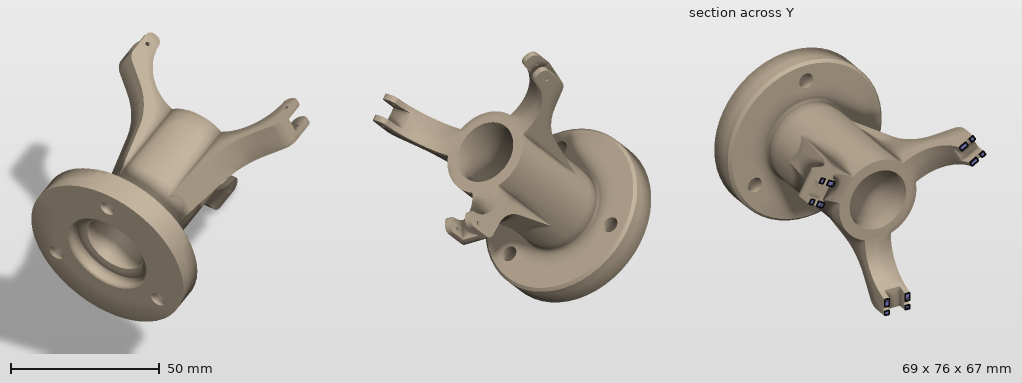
import cadquery as cq
import math

overall_length = 76.0

flange_diameter = 60.0
flange_thickness = 10.0
flange_back_chamfer = 1.0
bolt_hole_diameter = 5.5
bolt_circle_radius = 23.0
hole_count = 3

tube_diameter = 30.0
tube_end = 58.0
tube_base_fillet = 1.0
bore_diameter = 22.0
recess_diameter = 30.0
recess_depth = 5.0
recess_chamfer = 0.45

arm_count = 3
arm_width = 10.0
arm_outer_radius = 36.95
arm_root_radius = (tube_diameter + bore_diameter) / 4
arm_side_radius = math.sqrt((tube_diameter / 2) ** 2 - (arm_width / 2) ** 2)
inner_curve_radius = 17.0
heel_axial = 62.95
knee_axial = 52.6
knee_radius = 21.2
arm_start_axial = 23.7
heel_rounding = 5.0
knee_rounding = 22.0
tip_rounding = 2.5
tip_flat = 0.1

slot_width = 6.0
slot_depth = 8.5
pin_diameter = 1.5
pin_from_tip = 5.0
pin_from_outside = 2.5


def axial_cylinder(diameter, start, end):
    """Cylinder about the Y axis between two axial positions."""
    return cq.Workplane("XZ", origin=(0, start, 0)).circle(diameter / 2).extrude(start - end)


def make_body():
    flange = axial_cylinder(flange_diameter, 0, flange_thickness)
    flange = flange.faces(">Y").chamfer(flange_back_chamfer)
    body = flange.union(axial_cylinder(tube_diameter, 0, tube_end))
    tube_edges = body.edges(cq.selectors.RadiusNthSelector(0))
    return tube_edges.edges("<Y").fillet(tube_base_fillet)


def make_arm():
    """Forked arm pointing toward -Z."""
    curve_end_axial = tube_end + inner_curve_radius
    curve_end_radius = arm_side_radius + inner_curve_radius
    tip_curve_axial = overall_length - tip_rounding - tip_flat
    arc_angle = math.acos((curve_end_axial - tip_curve_axial) / inner_curve_radius)
    arc_end = (tip_curve_axial, -curve_end_radius + inner_curve_radius * (1 - math.sin(arc_angle)))
    mid_angle = arc_angle / 2
    arc_middle = (
        curve_end_axial - inner_curve_radius * math.cos(mid_angle),
        -arm_side_radius - inner_curve_radius * math.sin(mid_angle),
    )
    arm = (
        cq.Workplane("YZ")
        .moveTo(arm_start_axial, -arm_root_radius)
        .lineTo(tube_end, -arm_root_radius)
        .lineTo(tube_end, -arm_side_radius)
        .threePointArc(arc_middle, arc_end)
        .lineTo(overall_length, arc_end[1])
        .lineTo(overall_length, -arm_outer_radius)
        .lineTo(heel_axial, -arm_outer_radius)
        .lineTo(knee_axial, -knee_radius)
        .lineTo(arm_start_axial, -arm_side_radius)
        .close()
        .extrude(arm_width / 2, both=True)
    )
    arm = round_corner(arm, heel_axial, arm_outer_radius, heel_rounding)
    arm = round_corner(arm, knee_axial, knee_radius, knee_rounding)
    arm = arm.edges("|X and >Y").fillet(tip_rounding)

    slot = cq.Workplane("XY").box(
        slot_width, slot_depth, arm_outer_radius, centered=(True, False, False)
    ).translate((0, overall_length - slot_depth, -arm_outer_radius))
    pin_hole = (
        cq.Workplane("YZ")
        .center(overall_length - pin_from_tip, pin_from_outside - arm_outer_radius)
        .circle(pin_diameter / 2)
        .extrude(arm_width, both=True)
    )
    return arm.cut(slot).cut(pin_hole)


def round_corner(arm, axial, radius, rounding):
    """Round the arm edge nearest to a corner of its outline."""
    return arm.edges(cq.selectors.NearestToPointSelector((0, axial, -radius))).fillet(rounding)


body = make_body()
arm = make_arm()
for i in range(arm_count):
    body = body.union(arm.rotate((0, 0, 0), (0, 1, 0), i * 360 / arm_count))

body = body.cut(axial_cylinder(bore_diameter, 0, tube_end))
recess = axial_cylinder(recess_diameter, 0, recess_depth)
recess_lead_in = (
    cq.Workplane("XZ")
    .circle(recess_diameter / 2 + recess_chamfer)
    .extrude(-recess_chamfer, taper=45)
)
body = body.cut(recess).cut(recess_lead_in)

bolt_hole = axial_cylinder(bolt_hole_diameter, 0, flange_thickness).translate((0, 0, bolt_circle_radius))
for i in range(hole_count):
    body = body.cut(bolt_hole.rotate((0, 0, 0), (0, 1, 0), i * 360 / hole_count))

result = body